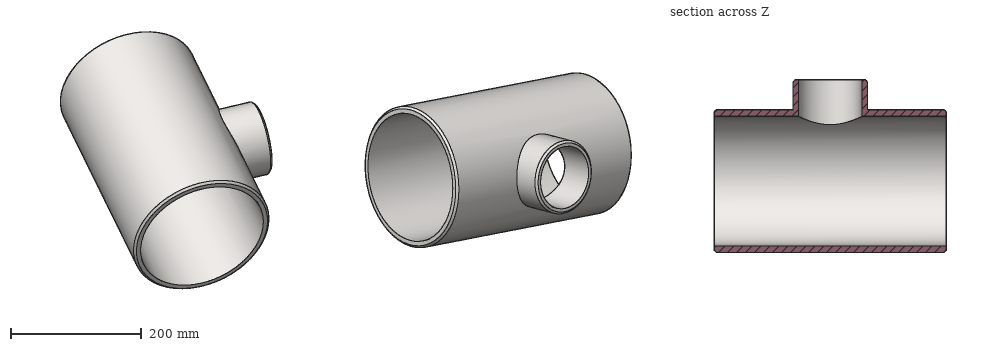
import cadquery as cq

run_length = 355.6
run_diameter = 219.075
run_wall = 10.3
branch_diameter = 114.3
branch_wall = 8.56
branch_reach = 155.45
end_bevel = 3.45

run_radius = run_diameter / 2
branch_radius = branch_diameter / 2


def run_body():
    """Solid run along X, centred on the origin and bevelled at both ends."""
    body = cq.Workplane("YZ").circle(run_radius).extrude(run_length / 2, both=True)
    return body.faces("<X or >X").chamfer(end_bevel)


def branch_cylinder(radius):
    """Cylinder from the run axis out to the branch end face on +Y."""
    return cq.Workplane("XZ").circle(radius).extrude(-branch_reach)


def branch_body():
    """Solid branch, bevelled at its open end."""
    return branch_cylinder(branch_radius).faces(">Y").chamfer(end_bevel)


def bores():
    """Run bore right through the part, joined by the branch bore."""
    run_bore = cq.Workplane("YZ").circle(run_radius - run_wall).extrude(run_length / 2, both=True)
    return run_bore.union(branch_cylinder(branch_radius - branch_wall))


result = run_body().union(branch_body()).cut(bores())